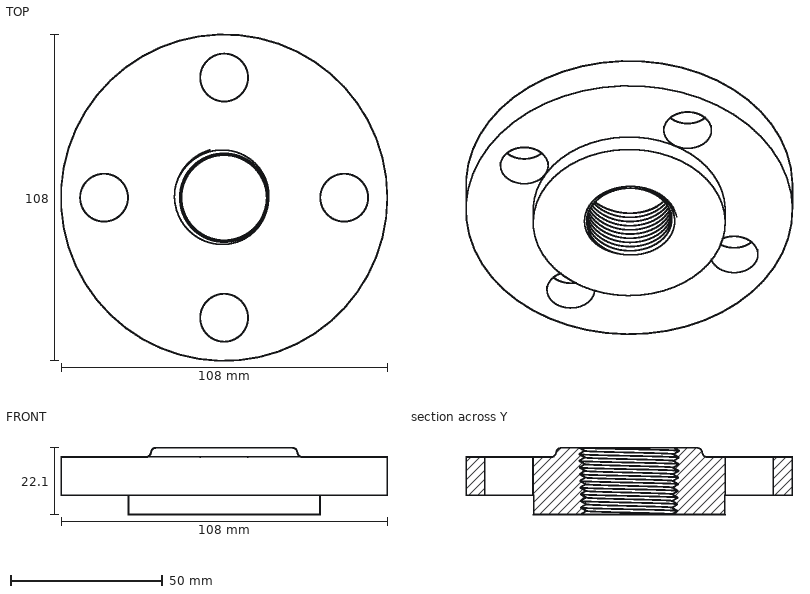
import cadquery as cq
import math

flange_diameter = 108.0
flange_thickness = 12.7

raised_face_diameter = 63.5
raised_face_height = 6.35

hub_base_diameter = 49.3
hub_height = 3.05
hub_draft_angle = 15.0
hub_fillet_radius = 1.6

bolt_circle_diameter = 79.4
bolt_hole_diameter = 15.75
bolt_hole_count = 4

inch = 25.4
threads_per_inch = 11.5
thread_pitch = inch / threads_per_inch
thread_depth = 0.8 * thread_pitch
thread_flank_angle = 30.0
thread_crest_flat = 0.038 * thread_pitch
thread_top_crest_radius = 14.72
taper_on_diameter = 1 / 16
thread_slope = taper_on_diameter / 2
thread_groove_direction = 165.0
crest_overlap = 0.03

plate_top = raised_face_height + flange_thickness
total_height = plate_top + hub_height


def make_plate_with_hub():
    """Flange plate and drafted hub, with the hub rounded at its rim and its root."""
    plate = (
        cq.Workplane("XY", origin=(0, 0, raised_face_height))
        .circle(flange_diameter / 2)
        .extrude(flange_thickness)
    )
    hub = (
        cq.Workplane("XY", origin=(0, 0, plate_top))
        .circle(hub_base_diameter / 2)
        .extrude(hub_height, taper=hub_draft_angle)
    )
    hub_rim = cq.selectors.RadiusNthSelector(0)
    hub_root = cq.selectors.RadiusNthSelector(1)
    return plate.union(hub).edges(hub_rim + hub_root).fillet(hub_fillet_radius)


def add_raised_face(body):
    raised_face = cq.Workplane("XY").circle(raised_face_diameter / 2).extrude(raised_face_height)
    return body.union(raised_face)


def cut_bolt_holes(body):
    holes = (
        cq.Workplane("XY", origin=(0, 0, raised_face_height))
        .polarArray(bolt_circle_diameter / 2, 0, 360, bolt_hole_count)
        .circle(bolt_hole_diameter / 2)
        .extrude(flange_thickness)
    )
    return body.cut(holes)


def crest_radius(z):
    """Radius of the thread crests, which narrow towards the underside."""
    return thread_top_crest_radius - (total_height - z) * thread_slope


def make_bore():
    """Through bore that follows the thread crests."""
    profile = [
        (0, 0),
        (crest_radius(0), 0),
        (crest_radius(total_height), total_height),
        (0, total_height),
    ]
    return cq.Workplane("XZ").polyline(profile).close().revolve(360, (0, 0), (0, 1))


def make_thread_groove():
    """Right-hand tapered helical groove that runs out past both ends of the bore."""
    turns_below = math.ceil(total_height / thread_pitch) + 1
    start_z = total_height - turns_below * thread_pitch
    helix_height = (turns_below + 1) * thread_pitch
    flank_run = math.tan(math.radians(thread_flank_angle))
    mouth_half_width = (thread_pitch - thread_crest_flat) / 2 + crest_overlap * flank_run
    root_half_width = mouth_half_width - (thread_depth + crest_overlap) * flank_run
    corners = [
        (-crest_overlap, -mouth_half_width),
        (thread_depth, -root_half_width),
        (thread_depth, root_half_width),
        (-crest_overlap, mouth_half_width),
    ]
    profile = [(crest_radius(start_z + rise) + depth, start_z + rise) for depth, rise in corners]
    helix = cq.Wire.makeHelix(
        thread_pitch,
        helix_height,
        crest_radius(start_z),
        center=cq.Vector(0, 0, start_z),
        angle=math.degrees(math.atan(thread_slope)),
    )
    groove = cq.Workplane("XZ").polyline(profile).close().sweep(cq.Workplane(helix), isFrenet=True)
    return groove.rotate((0, 0, 0), (0, 0, 1), thread_groove_direction)


flange = cut_bolt_holes(add_raised_face(make_plate_with_hub()))
result = flange.cut(make_thread_groove()).cut(make_bore())